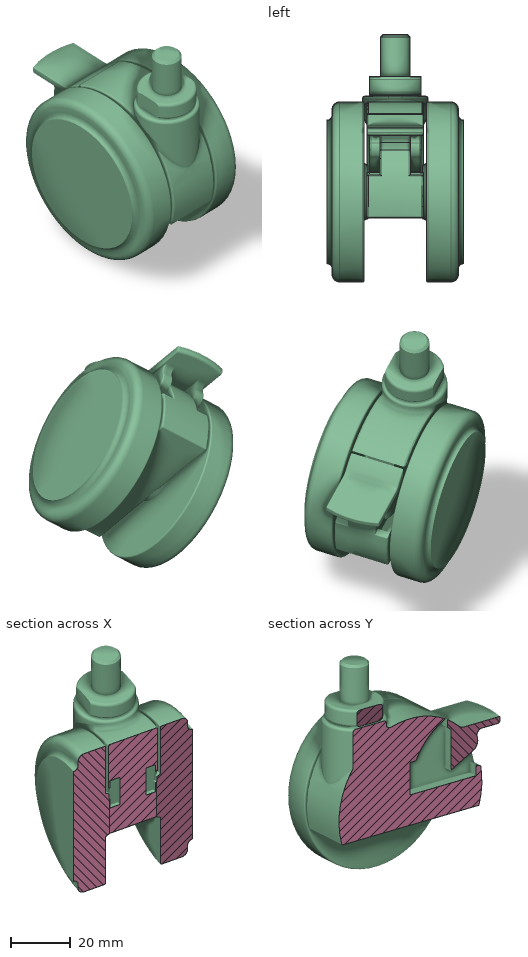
import cadquery as cq
import math


EDGE_RADIUS = 0.5
OVERLAP = 4.1

WHEEL_RADIUS = 30.0
WHEEL_INNER_Y = 10.4
TREAD_OUTER_Y = 21.0
SHOULDER_RADIUS = 2.5
OVERALL_WIDTH = 45.6
HUB_FACE_Y = OVERALL_WIDTH / 2
HUB_RADIUS = 23.9
COVE_RADIUS = HUB_FACE_Y - TREAD_OUTER_Y
BOSS_TIP_Y = 9.1
BOSS_TIP_RADIUS = 8.8
BOSS_ROOT_RADIUS = 9.5

HOUSING_HALF_WIDTH = 9.5
HOUSING_BOTTOM_Z = -8.7
SWIVEL_X = 17.1
SWIVEL_RADIUS = 11.0
SWIVEL_TOP_Z = 31.9
SWIVEL_TOP_FILLET = 1.0
SWIVEL_ROOT_FILLET = 1.3
ROOT_SEARCH_DEPTH = 3.3
WHEEL_CLEARANCE_RADIUS = 31.9

RECESS_EDGE_X = -14.8
RECESS_WALL_RADIUS = 25.6
RECESS_BACK_X = 0.0
LIP_FRONT_Z = 5.2
LIP_BACK_Z = 6.4
LIP_DEPTH = 2.15
WELL_BOTTOM_Z = 2.5
TONGUE_HALF_WIDTH = 5.0
TONGUE_BACK_X = 4.1
SCOOP_BOTTOM_Z = 14.0
SCOOP_TOP_X = -24.7
SCOOP_TOP_Z = 16.5
SCOOP_RADIUS = 4.0
TONGUE_TOP_X = -22.8

LEVER_TIP_X = -38.8
LEVER_TIP_RADIUS = 30.0
PAD_TOP_Z = 21.4
PAD_BOTTOM_Z = 18.9
PLATE_THICKNESS = PAD_TOP_Z - PAD_BOTTOM_Z
PAD_EDGE_RADIUS = 0.4
TIP_RADIUS = 1.0
PAD_BEND_RADIUS = 3.0
LEVER_END_X = -15.4
LEG_OUTER_Y = 8.6
NOSE_X = -28.4
NOSE_Z = 15.0
NOSE_RADIUS = 3.8
NOSE_END_ANGLE = 63.0
LEG_COVE_RADIUS = 2.0
LEG_BOTTOM_Z = 6.85

STUD_RADIUS = 4.95
STUD_TOP_Z = 52.5
STUD_CHAMFER = 0.8
NUT_RADIUS = 10.0
NUT_BOTTOM_Z = 32.3
NUT_TOP_Z = 38.45
NUT_FLATS = 17.3
NUT_FILLET = 1.0
NECK_RADIUS = 7.6


def point_at_x(radius, x):
    """Upper point at the given X on a circle about the wheel axis."""
    return (x, math.sqrt(radius ** 2 - x ** 2))


def front_point_at_z(radius, z):
    """Front (-X) point at the given height on a circle about the wheel axis."""
    return (-math.sqrt(radius ** 2 - z ** 2), z)


def extrude_y(profile, y_from, y_to):
    """Extrude a closed XZ profile between two Y positions."""
    return profile.extrude(y_from - y_to).translate((0, y_from, 0))


def xz():
    return cq.Workplane("XZ")


def mirrored(body):
    """Both the body and its mirror image across the middle plane."""
    return [body, body.mirror("XZ")]



def make_wheel():
    """The +Y wheel, turned about the Y axis: (radius, y) profile."""
    cove_root = HUB_RADIUS + COVE_RADIUS
    cove_mid = COVE_RADIUS * math.sqrt(0.5)
    return (
        cq.Workplane("XY")
        .moveTo(0, BOSS_TIP_Y)
        .lineTo(BOSS_TIP_RADIUS, BOSS_TIP_Y)
        .lineTo(BOSS_ROOT_RADIUS, WHEEL_INNER_Y)
        .lineTo(WHEEL_RADIUS - EDGE_RADIUS, WHEEL_INNER_Y)
        .radiusArc((WHEEL_RADIUS, WHEEL_INNER_Y + EDGE_RADIUS), -EDGE_RADIUS)
        .lineTo(WHEEL_RADIUS, TREAD_OUTER_Y - SHOULDER_RADIUS)
        .radiusArc((WHEEL_RADIUS - SHOULDER_RADIUS, TREAD_OUTER_Y), -SHOULDER_RADIUS)
        .lineTo(cove_root, TREAD_OUTER_Y)
        .threePointArc((cove_root - cove_mid, HUB_FACE_Y - cove_mid), (HUB_RADIUS, HUB_FACE_Y))
        .lineTo(0, HUB_FACE_Y)
        .close()
        .revolve(360, (0, 0, 0), (0, 1, 0))
    )



def make_housing_shell():
    """Round body cut flat underneath, carrying the upright swivel barrel."""
    corner_x = -front_point_at_z(WHEEL_RADIUS, HOUSING_BOTTOM_Z)[0]
    profile = (
        xz()
        .moveTo(-corner_x, HOUSING_BOTTOM_Z)
        .threePointArc((0, WHEEL_RADIUS), (corner_x, HOUSING_BOTTOM_Z))
        .close()
    )
    body = extrude_y(profile, -HOUSING_HALF_WIDTH, HOUSING_HALF_WIDTH).edges().fillet(EDGE_RADIUS)
    barrel = (
        cq.Workplane("XY")
        .center(SWIVEL_X, 0)
        .circle(SWIVEL_RADIUS)
        .extrude(SWIVEL_TOP_Z)
    )
    shell = body.union(barrel)
    barrel_front_x = SWIVEL_X - SWIVEL_RADIUS
    root = cq.selectors.BoxSelector(
        (barrel_front_x, -HOUSING_HALF_WIDTH / 2, WHEEL_RADIUS - ROOT_SEARCH_DEPTH),
        (barrel_front_x + ROOT_SEARCH_DEPTH, HOUSING_HALF_WIDTH / 2, WHEEL_RADIUS),
    )
    shell = shell.edges(root).fillet(SWIVEL_ROOT_FILLET)
    shell = shell.faces(">Z").edges().fillet(SWIVEL_TOP_FILLET)
    clearance = extrude_y(
        xz().circle(WHEEL_CLEARANCE_RADIUS),
        HOUSING_HALF_WIDTH,
        HOUSING_HALF_WIDTH + OVERLAP,
    )
    for side in mirrored(clearance):
        shell = shell.cut(side)
    return shell


def make_recess():
    """Space for the brake lever: full-width recess plus a well behind the lip on each side."""
    edge = point_at_x(WHEEL_RADIUS, RECESS_EDGE_X)
    lip_front = front_point_at_z(WHEEL_RADIUS, LIP_FRONT_Z)
    lip_back = (lip_front[0] + LIP_DEPTH, LIP_BACK_Z)
    outside_x = lip_front[0] - OVERLAP
    profile = (
        xz()
        .moveTo(outside_x, LIP_FRONT_Z)
        .lineTo(*lip_front)
        .radiusArc((lip_front[0] + EDGE_RADIUS, LIP_FRONT_Z + EDGE_RADIUS), EDGE_RADIUS)
        .lineTo(*lip_back)
        .lineTo(RECESS_BACK_X, LIP_BACK_Z)
        .radiusArc(edge, -RECESS_WALL_RADIUS)
        .lineTo(edge[0], edge[1] + OVERLAP)
        .lineTo(outside_x, edge[1] + OVERLAP)
        .close()
    )
    reach = HOUSING_HALF_WIDTH + OVERLAP
    recess = extrude_y(profile, -reach, reach)
    well = cq.Workplane("XY").box(
        RECESS_BACK_X - lip_back[0],
        LEG_OUTER_Y - TONGUE_HALF_WIDTH,
        SCOOP_BOTTOM_Z - WELL_BOTTOM_Z,
        centered=False,
    ).translate((lip_back[0], TONGUE_HALF_WIDTH, WELL_BOTTOM_Z))
    for side in mirrored(well):
        recess = recess.union(side)
    return recess


def make_tongue():
    """Middle rib that fills the recess up to the underside of the lever."""
    foot = front_point_at_z(WHEEL_RADIUS, 0)
    belly = front_point_at_z(WHEEL_RADIUS, SCOOP_BOTTOM_Z / 2)
    plate_inner_radius = WHEEL_RADIUS - PLATE_THICKNESS
    end = point_at_x(plate_inner_radius, RECESS_EDGE_X)
    profile = (
        xz()
        .moveTo(*foot)
        .threePointArc(belly, front_point_at_z(WHEEL_RADIUS, SCOOP_BOTTOM_Z))
        .radiusArc((SCOOP_TOP_X, SCOOP_TOP_Z), -SCOOP_RADIUS)
        .lineTo(TONGUE_TOP_X, PAD_BOTTOM_Z)
        .lineTo(*front_point_at_z(plate_inner_radius, PAD_BOTTOM_Z))
        .radiusArc(end, plate_inner_radius)
        .lineTo(TONGUE_BACK_X, end[1])
        .lineTo(TONGUE_BACK_X, foot[1])
        .close()
    )
    tongue = extrude_y(profile, -TONGUE_HALF_WIDTH, TONGUE_HALF_WIDTH)
    front = cq.selectors.BoxSelector(
        (-WHEEL_RADIUS, -HOUSING_HALF_WIDTH, 0.0),
        (TONGUE_TOP_X - EDGE_RADIUS, HOUSING_HALF_WIDTH, PAD_BOTTOM_Z),
    )
    return tongue.faces("|Y").edges(front).fillet(EDGE_RADIUS)


def make_housing(wheels):
    housing = make_housing_shell().cut(make_recess()).union(make_tongue())
    for wheel in wheels:
        housing = housing.cut(wheel)
    return housing



def make_lever_plate():
    """Thumb pad that bends up into a curved plate flush with the housing."""
    inner_radius = WHEEL_RADIUS - PLATE_THICKNESS
    bend = front_point_at_z(WHEEL_RADIUS, PAD_TOP_Z)
    inner_bend = front_point_at_z(inner_radius, PAD_BOTTOM_Z)
    profile = (
        xz()
        .moveTo(LEVER_TIP_X, PAD_TOP_Z)
        .lineTo(*bend)
        .radiusArc(point_at_x(WHEEL_RADIUS, LEVER_END_X), WHEEL_RADIUS)
        .lineTo(*point_at_x(inner_radius, LEVER_END_X))
        .radiusArc(inner_bend, -inner_radius)
        .lineTo(LEVER_TIP_X, PAD_BOTTOM_Z)
        .close()
    )
    plate = extrude_y(profile, -HOUSING_HALF_WIDTH, HOUSING_HALF_WIDTH)
    bend_edge = cq.selectors.NearestToPointSelector((bend[0], 0, bend[1]))
    plate = plate.edges("|Y").edges(bend_edge).fillet(PAD_BEND_RADIUS)
    tip = (
        cq.Workplane("XY")
        .center(LEVER_TIP_X + LEVER_TIP_RADIUS, 0)
        .circle(LEVER_TIP_RADIUS)
        .extrude(SWIVEL_TOP_Z)
    )
    plate = plate.intersect(tip)

    tip_bottom = cq.selectors.NearestToPointSelector((LEVER_TIP_X, 0, PAD_BOTTOM_Z))
    plate = plate.edges(tip_bottom).fillet(TIP_RADIUS)
    tip_top = cq.selectors.NearestToPointSelector((LEVER_TIP_X, 0, PAD_TOP_Z))
    rim = plate.faces(">Y or <Y").edges().add(plate.edges(tip_top))
    plate = rim.fillet(PAD_EDGE_RADIUS)
    return plate


def make_lever_leg():
    """The +Y leg: cam-shaped nose, sloping underside and straight back."""
    nose_centre = (NOSE_X + NOSE_RADIUS, NOSE_Z)
    cove_z = PAD_BOTTOM_Z - LEG_COVE_RADIUS
    centre_distance = NOSE_RADIUS + LEG_COVE_RADIUS
    rise = cove_z - NOSE_Z
    cove_x = nose_centre[0] - math.sqrt(centre_distance ** 2 - rise ** 2)
    share = LEG_COVE_RADIUS / centre_distance
    meeting = (cove_x + share * (nose_centre[0] - cove_x), cove_z - share * rise)
    angle = math.radians(NOSE_END_ANGLE)
    nose_end = (
        nose_centre[0] - NOSE_RADIUS * math.cos(angle),
        nose_centre[1] - NOSE_RADIUS * math.sin(angle),
    )
    heel_x = nose_end[0] + (nose_end[1] - LEG_BOTTOM_Z) * math.tan(angle)
    buried_radius = WHEEL_RADIUS - PLATE_THICKNESS / 2
    buried_z = PAD_TOP_Z - PLATE_THICKNESS / 2
    profile = (
        xz()
        .moveTo(cove_x, buried_z)
        .lineTo(cove_x, PAD_BOTTOM_Z)
        .radiusArc(meeting, LEG_COVE_RADIUS)
        .threePointArc((NOSE_X, NOSE_Z), nose_end)
        .lineTo(heel_x, LEG_BOTTOM_Z)
        .lineTo(*point_at_x(buried_radius, heel_x))
        .radiusArc(front_point_at_z(buried_radius, buried_z), -buried_radius)
        .close()
    )
    leg = extrude_y(profile, TONGUE_HALF_WIDTH, LEG_OUTER_Y)
    cam = cq.selectors.BoxSelector(
        (cove_x, TONGUE_HALF_WIDTH, LEG_BOTTOM_Z),
        (heel_x - EDGE_RADIUS, HOUSING_HALF_WIDTH, PAD_BOTTOM_Z),
    )
    return leg.faces(">Y").edges(cam).fillet(EDGE_RADIUS)


def make_lever():
    lever = make_lever_plate()
    for leg in mirrored(make_lever_leg()):
        lever = lever.union(leg)
    return lever



def make_stem():
    """Stud, two-flat nut and neck standing on the swivel barrel."""
    neck = cq.Workplane("XY").workplane(offset=SWIVEL_TOP_Z)
    neck = neck.circle(NECK_RADIUS).extrude(NUT_BOTTOM_Z - SWIVEL_TOP_Z)
    nut = cq.Workplane("XY").workplane(offset=NUT_BOTTOM_Z)
    nut = nut.circle(NUT_RADIUS).extrude(NUT_TOP_Z - NUT_BOTTOM_Z).edges().fillet(NUT_FILLET)
    flats = cq.Workplane("XY").box(2 * NUT_RADIUS, NUT_FLATS, 2 * NUT_TOP_Z)
    stud = cq.Workplane("XY").workplane(offset=NUT_TOP_Z)
    stud = stud.circle(STUD_RADIUS).extrude(STUD_TOP_Z - NUT_TOP_Z).faces(">Z").chamfer(STUD_CHAMFER)
    return nut.intersect(flats).union(neck).union(stud).translate((SWIVEL_X, 0, 0))


wheels = mirrored(make_wheel())
housing = make_housing(wheels)
lever = make_lever()
stem = make_stem()

result = cq.Compound.makeCompound(
    [housing.val(), lever.val(), stem.val(), *[wheel.val() for wheel in wheels]]
)